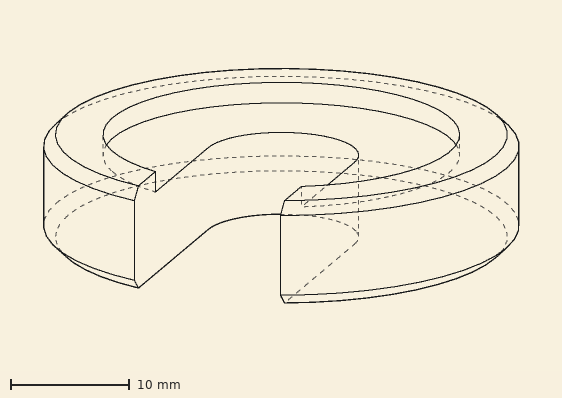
import cadquery as cq

disc_diameter = 40.0
disc_thickness = 9.0
edge_chamfer = 1.0
recess_diameter = 30.0
recess_depth = 1.8
slot_width = 13.0

disc_radius = disc_diameter / 2
slot_radius = slot_width / 2


def chamfered_disc():
    """Disc standing on Z = 0 with both outer edges chamfered."""
    return (
        cq.Workplane("XY")
        .circle(disc_radius)
        .extrude(disc_thickness)
        .edges("%CIRCLE")
        .chamfer(edge_chamfer)
    )


def top_recess():
    """Round pocket, concentric with the disc, sunk into the top face."""
    return (
        cq.Workplane("XY")
        .workplane(offset=disc_thickness - recess_depth)
        .circle(recess_diameter / 2)
        .extrude(recess_depth)
    )


def open_slot():
    """Through slot, rounded about the disc axis and open toward -Y."""
    return (
        cq.Workplane("XY")
        .moveTo(slot_radius, -disc_radius)
        .lineTo(slot_radius, 0)
        .threePointArc((0, slot_radius), (-slot_radius, 0))
        .lineTo(-slot_radius, -disc_radius)
        .close()
        .extrude(disc_thickness)
    )


result = chamfered_disc().cut(top_recess()).cut(open_slot())